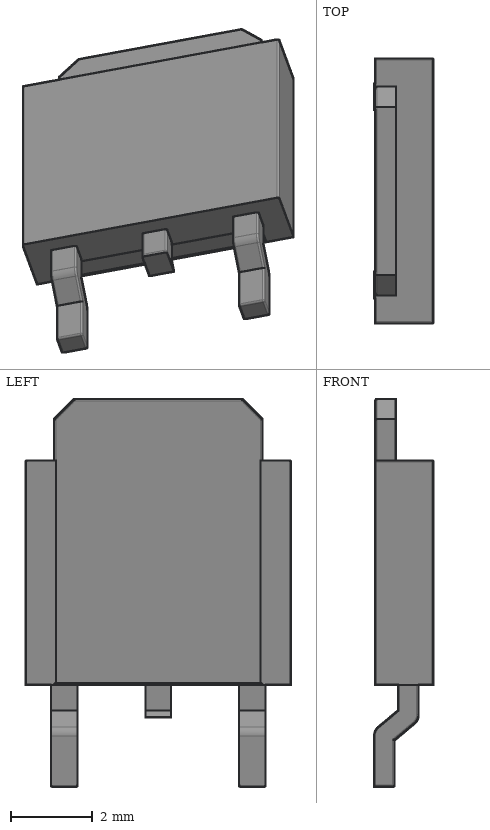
import cadquery as cq
import math

total_height = 9.5
housing_back = 0.03
housing_front = 1.45
housing_width = 6.5
housing_bottom = 2.5
housing_top = 8.0
housing_rounding = 0.05

tab_width = 5.11
tab_thickness = 0.5
tab_corner = 0.49
tab_rounding = 0.05

lead_width = 0.66
lead_thickness = 0.5
lead_pitch = 4.61
lead_step = 0.59
upper_bend_z = 1.87
lower_bend_z = 1.38
bend_radius = 0.285
lead_rounding = 0.05
middle_lead_width = 0.63
middle_lead_end = 1.7


def make_tab():
    """Flat plate with cut top corners and a rounded edge around its back face."""
    height = total_height - housing_bottom
    plate = cq.Workplane("XY").box(tab_thickness, tab_width, height, centered=(False, True, False))
    plate = plate.translate((housing_back, 0, housing_bottom))
    plate = plate.edges("|X and >Z").chamfer(tab_corner)
    return plate.faces("<X").edges().fillet(tab_rounding)


def make_housing(tab):
    """Block rounded along its top, side and front edges, with a recess that fits the tab."""
    block = cq.Workplane("XY").box(
        housing_front - housing_back,
        housing_width,
        housing_top - housing_bottom,
        centered=(False, True, False),
    )
    block = block.translate((housing_back, 0, housing_bottom))
    block = block.edges("not (<X or <Z)").fillet(housing_rounding)
    return block.cut(tab)


def make_lead(width, y):
    """Strip bent twice, from the housing's bottom face to a foot at Z = 0."""
    slope_angle = math.atan2(upper_bend_z - lower_bend_z, lead_step)
    turn_angle = math.pi / 2 - slope_angle
    front_drop = lead_thickness * math.tan(turn_angle / 2)
    root_front = lead_step + lead_thickness
    profile = [
        (0, 0),
        (0, lower_bend_z),
        (lead_step, upper_bend_z),
        (lead_step, housing_bottom),
        (root_front, housing_bottom),
        (root_front, upper_bend_z - front_drop),
        (lead_thickness, lower_bend_z - front_drop),
        (lead_thickness, 0),
    ]
    strip = cq.Workplane("XZ").polyline(profile).close().extrude(width / 2, both=True)

    back_bend = cq.selectors.NearestToPointSelector((0, 0, lower_bend_z))
    front_bend = cq.selectors.NearestToPointSelector((root_front, 0, upper_bend_z - front_drop))
    strip = strip.edges("|Y").edges(back_bend).fillet(bend_radius)
    strip = strip.edges("|Y").edges(front_bend).fillet(bend_radius)

    rounded_edges = strip.faces("<Z").edges("not <X")
    rounded_edges = rounded_edges.add(front_side_edges(strip))
    return rounded_edges.fillet(lead_rounding).translate((0, y, 0))


def front_side_edges(strip):
    """Long edges of the strip's front side, found as the edges in front of its centre line."""
    def in_front(edge):
        point = edge.Center()
        run = (point.z - lower_bend_z) / (upper_bend_z - lower_bend_z)
        centre_line = lead_thickness / 2 + lead_step * min(max(run, 0), 1)
        return point.x > centre_line and 0 < point.z < housing_bottom

    edges = strip.edges("#Y").vals()
    return [edge for edge in edges if in_front(edge)]


def make_middle_lead():
    """Lead of the same bend, cropped just below the upper bend."""
    lead = make_lead(middle_lead_width, 0)
    return lead.intersect(
        cq.Workplane("XY")
        .box(total_height, total_height, total_height, centered=(True, True, False))
        .translate((0, 0, middle_lead_end))
    )


tab = make_tab()
housing = make_housing(tab)
outer_leads = [make_lead(lead_width, side * lead_pitch / 2) for side in (-1, 1)]
middle_lead = make_middle_lead()

result = cq.Compound.makeCompound(
    [housing.val(), tab.val(), middle_lead.val().Solids()[0], *[lead.val() for lead in outer_leads]]
)